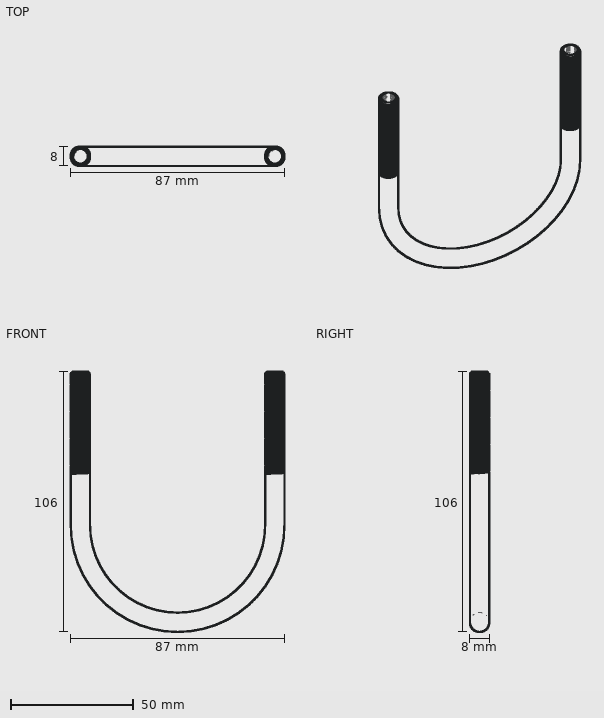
import cadquery as cq
import math

overall_height = 106.0
overall_width = 87.0
rod_diameter = 8.0
rod_radius = rod_diameter / 2
bend_radius = (overall_width - rod_diameter) / 2
leg_length = overall_height - overall_width / 2

tip_chamfer = 1.0

thread_turns = 41
thread_rise = 40.9
thread_pitch = thread_rise / thread_turns
thread_length = 41.8
thread_half_angle = math.radians(30)
crest_flat = thread_pitch / 8
root_flat = thread_pitch / 4
thread_depth = (thread_pitch - crest_flat - root_flat) / (2 * math.tan(thread_half_angle))
groove_width = thread_pitch - crest_flat
groove_start = leg_length - thread_length + groove_width / 2

groove_overhang = 0.05
tip_clearance = 1.1
rod_seam_angle = 72


def make_bend():
    """Lower half ring joining the two legs."""
    return (
        cq.Workplane("XY")
        .center(-bend_radius, 0)
        .circle(rod_radius)
        .revolve(180, (bend_radius, 0), (bend_radius, -1))
    )


def make_groove_cutter():
    """Helical solid that cuts the thread groove, starting and ending on the -X side of the leg."""
    root_radius = rod_radius - thread_depth
    mouth_radius = rod_radius + groove_overhang
    root_half = root_flat / 2
    mouth_half = groove_width / 2 + groove_overhang * math.tan(thread_half_angle)
    profile = (
        cq.Workplane("XZ")
        .polyline([
            (root_radius, -root_half),
            (mouth_radius, -mouth_half),
            (mouth_radius, mouth_half),
            (root_radius, root_half),
        ])
        .close()
    )
    helix = cq.Wire.makeHelix(thread_pitch, thread_rise, rod_radius)
    cutter = profile.sweep(cq.Workplane(obj=helix), isFrenet=True)
    return cutter.rotate((0, 0, 0), (0, 0, 1), 180).translate((0, 0, groove_start))


def make_tip_envelope():
    """Oversize cylinder whose chamfer cone gives the rod its tip chamfer."""
    return (
        cq.Workplane("XY")
        .circle(rod_radius + tip_clearance)
        .extrude(leg_length)
        .faces(">Z")
        .chamfer(tip_chamfer + tip_clearance)
    )


def make_leg():
    """Threaded leg on the Z axis; the groove is cut in an overlong rod, then the tip is trimmed."""
    rod = cq.Workplane("XY").circle(rod_radius).extrude(leg_length + tip_clearance)
    rod = rod.rotate((0, 0, 0), (0, 0, 1), rod_seam_angle)
    return rod.cut(make_groove_cutter()).intersect(make_tip_envelope())


leg = make_leg()
result = make_bend()
for side in (-1, 1):
    result = result.union(leg.translate((side * bend_radius, 0, 0)))
result = cq.Workplane(result.solids().val())